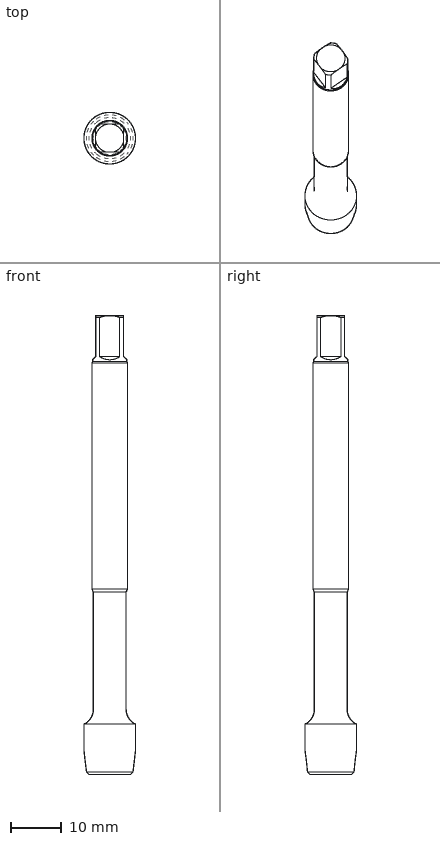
import cadquery as cq
import math

total_length = 90.0
tip_chamfer_height = 0.5
lead_top = 4.8
head_top = 9.9
flare_top = 12.8
shank_bottom = 35.8
shank_top = 81.0
shoulder_height = 0.3
square_bottom = 82.0

tip_radius = 4.05
lead_radius = 4.6
head_radius = 10.2 / 2
neck_radius = 6.5 / 2
shank_radius = 7.0 / 2
drive_radius = 6.75 / 2
drive_end_radius = 2.8

across_flats = 5.5
shank_end_chamfer = 0.5
drive_end_chamfer = 0.4


def make_head():
    """Working head: chamfered tip, tapered lead and cylindrical body."""
    return (
        cq.Workplane("XZ")
        .lineTo(tip_radius, 0)
        .lineTo(lead_radius, tip_chamfer_height)
        .lineTo(head_radius, lead_top)
        .lineTo(head_radius, head_top)
        .lineTo(0, head_top)
        .close()
        .revolve(360, (0, 0, 0), (0, 1, 0))
    )


def flare_midpoint():
    """Middle of the concave flare arc, which is tangent to the neck."""
    spread = head_radius - neck_radius
    drop = flare_top - head_top
    arc_radius = (spread**2 + drop**2) / (2 * spread)
    half_angle = math.asin(drop / arc_radius) / 2
    return (
        neck_radius + arc_radius * (1 - math.cos(half_angle)),
        flare_top - arc_radius * math.sin(half_angle),
    )


def make_round_shaft():
    """Flared foot, neck, shank and round drive end turned about Z."""
    return (
        cq.Workplane("XZ")
        .moveTo(0, head_top)
        .lineTo(head_radius, head_top)
        .threePointArc(flare_midpoint(), (neck_radius, flare_top))
        .lineTo(neck_radius, shank_bottom)
        .lineTo(shank_radius, shank_bottom + shank_end_chamfer)
        .lineTo(shank_radius, shank_top - shoulder_height)
        .lineTo(drive_radius, shank_top)
        .lineTo(drive_radius, total_length - drive_end_chamfer)
        .lineTo(drive_end_radius, total_length)
        .lineTo(0, total_length)
        .close()
        .revolve(360, (0, 0, 0), (0, 1, 0))
    )


def make_flat_cutter():
    """Wedge-footed block that cuts one flat, with a 45 degree run-out."""
    flat_distance = across_flats / 2
    outer = 2 * shank_radius
    return (
        cq.Workplane("XZ")
        .moveTo(flat_distance, total_length)
        .lineTo(flat_distance, square_bottom)
        .lineTo(outer, square_bottom - (outer - flat_distance))
        .lineTo(outer, total_length)
        .close()
        .extrude(shank_radius, both=True)
    )


def make_shaft():
    """Shaft with the four flats of its square drive."""
    shaft = make_round_shaft()
    cutter = make_flat_cutter()
    for side in range(4):
        shaft = shaft.cut(cutter.rotate((0, 0, 0), (0, 0, 1), 90 * side))
    return shaft


head = make_head()
shaft = make_shaft()
result = cq.Compound.makeCompound([head.val(), shaft.val()])